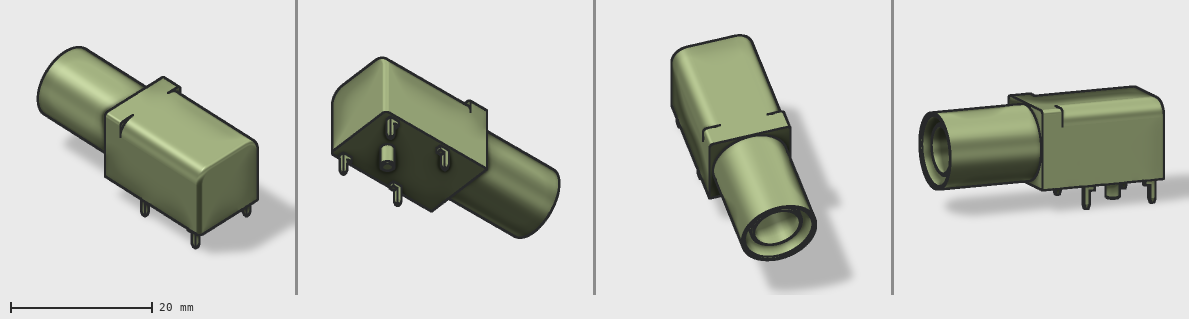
import cadquery as cq

TOTAL_LENGTH = 33.0
HOUSING_START = 14.0
HOUSING_WIDTH = 12.0
HOUSING_HEIGHT = 11.5
AXIS_HEIGHT = HOUSING_HEIGHT / 2
SLEEVE_AXIS_RISE = 0.1

COLLAR_LENGTH = 3.1
COLLAR_RADIUS = 0.65
SHOULDER_RADIUS = 2.5
REAR_RADIUS = 0.65

BARREL_DIAMETER = 11.0
BARREL_RADIUS = BARREL_DIAMETER / 2
BORE_RADIUS = 5.0
BORE_CHAMFER = 0.23
SLEEVE_RECESS = 1.0
SLEEVE_RADIUS = 3.75
SLEEVE_BORE_RADIUS = 3.4
SLEEVE_CHAMFER = 0.25
SLEEVE_FLOOR_CHAMFER = 0.1

PIN_LENGTH = 3.43
PIN_THICKNESS = 0.8
PIN_PITCH = 10.15
PIN_FRONT_X = 21.12
PIN_TIP_LENGTH = 0.65
PIN_TIP_THICKNESS = 0.5
FOOT_LENGTH = 1.6
FOOT_HEIGHT = 0.82
POST_X = 27.45
POST_RADIUS = 1.02
POST_LENGTH = PIN_LENGTH
POST_CHAMFER = 0.23


def box_between(x_start, x_end, width, height):
    """Box centred on Y = 0 and standing on Z = 0."""
    base = cq.Workplane("XY", origin=(x_start, 0, 0))
    return base.box(x_end - x_start, width, height, centered=(False, True, False))


def make_housing():
    """Square collar followed by a body with wide rounded shoulders and a rounded rear edge."""
    collar_end = HOUSING_START + COLLAR_LENGTH
    collar = box_between(HOUSING_START, collar_end, HOUSING_WIDTH, HOUSING_HEIGHT)
    collar = collar.edges("|X and >Z").fillet(COLLAR_RADIUS)
    body = box_between(collar_end, TOTAL_LENGTH, HOUSING_WIDTH, HOUSING_HEIGHT)
    body = body.edges("|X and >Z").fillet(SHOULDER_RADIUS)
    body = body.faces(">X").edges("not <Z").fillet(REAR_RADIUS)
    return collar.union(body)


def axial_cylinder(radius, x_start, x_end):
    """Cylinder on the barrel axis."""
    return (
        cq.Workplane("YZ", origin=(x_start, 0, AXIS_HEIGHT))
        .circle(radius)
        .extrude(x_end - x_start)
    )


def make_barrel():
    """Thin-walled barrel with a chamfered mouth, hollow down to the housing face."""
    barrel = axial_cylinder(BARREL_RADIUS, 0, HOUSING_START)
    barrel = barrel.cut(axial_cylinder(BORE_RADIUS, 0, HOUSING_START))
    bore_edge = cq.selectors.RadiusNthSelector(0)
    return barrel.faces("<X").edges(bore_edge).chamfer(BORE_CHAMFER)


def make_sleeve():
    """Recessed inner sleeve, set slightly above the barrel axis, with a blind bore chamfered at its floor."""
    sleeve = axial_cylinder(SLEEVE_RADIUS, SLEEVE_RECESS, HOUSING_START)
    sleeve = sleeve.faces("<X").chamfer(SLEEVE_CHAMFER)
    bore = axial_cylinder(SLEEVE_BORE_RADIUS, SLEEVE_RECESS, HOUSING_START)
    bore = bore.faces(">X").chamfer(SLEEVE_FLOOR_CHAMFER)
    return sleeve.cut(bore).translate((0, 0, SLEEVE_AXIS_RISE))


def make_pin(x, y, foot_direction):
    """Square pin with a tapered tip and a foot reaching along X under the housing."""
    shank_length = PIN_LENGTH - PIN_TIP_LENGTH
    pin = (
        cq.Workplane("XY")
        .rect(PIN_THICKNESS, PIN_THICKNESS)
        .extrude(-shank_length)
        .faces("<Z")
        .workplane()
        .rect(PIN_THICKNESS, PIN_THICKNESS)
        .workplane(offset=PIN_TIP_LENGTH)
        .rect(PIN_TIP_THICKNESS, PIN_TIP_THICKNESS)
        .loft()
    )
    foot_offset = foot_direction * (FOOT_LENGTH - PIN_THICKNESS) / 2
    foot = cq.Workplane("XY").center(foot_offset, 0).rect(FOOT_LENGTH, PIN_THICKNESS).extrude(-FOOT_HEIGHT)
    return pin.union(foot).translate((x, y, 0))


def make_post():
    """Round locating post with a chamfered end."""
    post = cq.Workplane("XY").center(POST_X, 0).circle(POST_RADIUS).extrude(-POST_LENGTH)
    return post.faces("<Z").chamfer(POST_CHAMFER)


result = make_housing().union(make_barrel()).union(make_sleeve()).union(make_post())
for side in (-1, 1):
    pin_y = side * PIN_PITCH / 2
    result = result.union(make_pin(PIN_FRONT_X, pin_y, 1))
    result = result.union(make_pin(PIN_FRONT_X + PIN_PITCH, pin_y, -1))